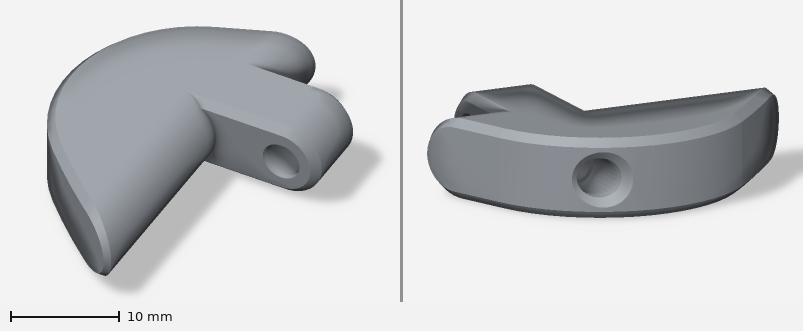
import cadquery as cq
import math

thickness = 7.63
end_radius = thickness / 2
edge_chamfer = 0.75

body_length = 34.68
nose_radius = 13.87
nose_x = nose_radius
nose_y = 18.45
flank_radius = 79.75
flank_direction = math.radians(224.0)
slope_angle = math.radians(21.6)
upper_arm_x = 17.75
lower_arm_x = 14.65

tongue_tip_x = 25.3
tongue_width = 7.63
tongue_y = 24.35
tongue_root_x = 6.95
hinge_diameter = 3.8
hinge_x = tongue_tip_x - end_radius

screw_diameter = 2.77
bore_mouth_diameter = 3.8
bore_end_diameter = 3.5
bore_end_x = 6.95
bore_chamfer = 0.75

outline_margin = 6.95


def nose_point(angle):
    """Point on the nose arc at the given angle from +X."""
    return (nose_x + nose_radius * math.cos(angle), nose_y + nose_radius * math.sin(angle))


def rounded_bar(start_x, end_x, low_y, high_y):
    """Bar spanning low_y to high_y with a full round at end_x."""
    return (
        cq.Workplane("XZ", origin=(0, high_y, 0))
        .moveTo(start_x, -end_radius)
        .lineTo(end_x - end_radius, -end_radius)
        .threePointArc((end_x, 0), (end_x - end_radius, end_radius))
        .lineTo(start_x, end_radius)
        .close()
        .extrude(high_y - low_y)
    )


def outline_prism():
    """Curved outer outline, left oversize on the +X side."""
    far_x = upper_arm_x + outline_margin
    slope_start_angle = math.pi / 2 + slope_angle
    slope_start = nose_point(slope_start_angle)
    slope_end_y = slope_start[1] + (far_x - slope_start[0]) * math.tan(slope_angle)

    center_offset = flank_radius - nose_radius
    flank_x = nose_x - center_offset * math.cos(flank_direction)
    flank_y = nose_y - center_offset * math.sin(flank_direction)

    def flank_point(x):
        return (x, flank_y - math.sqrt(flank_radius**2 - (x - flank_x) ** 2))

    return (
        cq.Workplane("XY", origin=(0, 0, -end_radius))
        .moveTo(far_x, slope_end_y)
        .lineTo(*slope_start)
        .threePointArc(nose_point((slope_start_angle + flank_direction) / 2), nose_point(flank_direction))
        .threePointArc(flank_point(lower_arm_x / 2), flank_point(far_x))
        .close()
        .extrude(thickness)
    )


def build_body():
    """Two-armed body, chamfered all along its outer curved wall."""
    upper_bar = rounded_bar(-outline_margin, upper_arm_x, tongue_y, body_length + outline_margin)
    lower_bar = rounded_bar(-outline_margin, lower_arm_x, -outline_margin, tongue_y)
    body = upper_bar.union(lower_bar).intersect(outline_prism())

    return body.faces("#Z and (not |Y)").edges("not |Z").chamfer(edge_chamfer)


def build_tongue():
    tongue = rounded_bar(
        tongue_root_x, tongue_tip_x, tongue_y - tongue_width / 2, tongue_y + tongue_width / 2
    )
    return tongue.faces("|Y").edges("not(<X)").chamfer(edge_chamfer)


def tapered_bore():
    """Cone along X that narrows from the curved wall to its flat end."""
    return (
        cq.Workplane("YZ", origin=(0, tongue_y, 0))
        .circle(bore_mouth_diameter / 2)
        .workplane(offset=bore_end_x)
        .circle(bore_end_diameter / 2)
        .loft()
    )


def build_part():
    part = build_body().union(build_tongue())
    hinge_hole = (
        cq.Workplane("XZ", origin=(hinge_x, tongue_y + tongue_width, 0))
        .circle(hinge_diameter / 2)
        .extrude(2 * tongue_width)
    )
    part = part.cut(tapered_bore())

    mouth = cq.selectors.BoxSelector(
        (0, tongue_y - end_radius, -end_radius + edge_chamfer),
        (bore_end_x / 2, tongue_y + end_radius, end_radius - edge_chamfer),
        boundingbox=True,
    )
    part = part.edges(mouth).chamfer(bore_chamfer)

    screw_hole = (
        cq.Workplane("YZ", origin=(0, tongue_y, 0))
        .circle(screw_diameter / 2)
        .extrude(hinge_x)
    )
    return part.cut(hinge_hole).cut(screw_hole)


result = build_part()